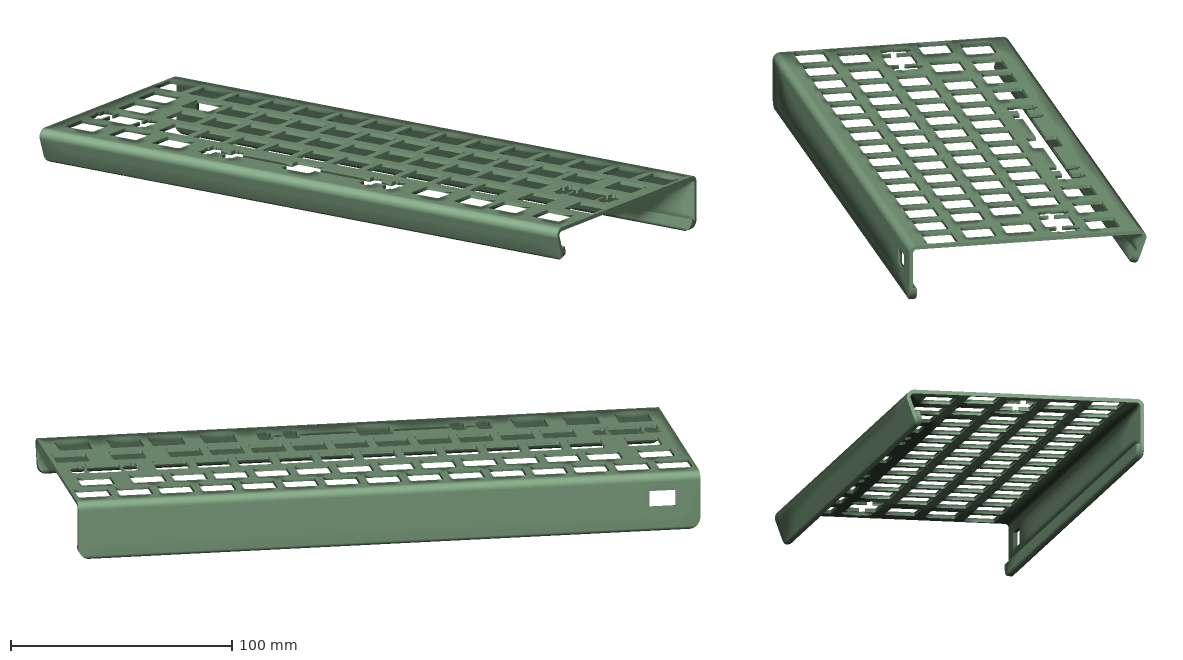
import cadquery as cq
import math


length = 285.8
depth = 109.7
height = 27.0

sheet = 1.7
bend_inner = 1.7
bend_outer = bend_inner + sheet
hem_gap = 0.15
hem_inner = hem_gap / 2
hem_outer = hem_inner + sheet
hem_height = 6.3
hem_run = hem_height - hem_outer
lip_tilt = 20.0
lip_run = 11.0
wall_run = height - bend_outer - hem_outer
plate_run = depth - 2 * bend_outer
wall_corner_radius = 6.0
lip_corner_radius = 4.0

row_units = 15
pitch = length / row_units
key_width = 15.5
key_height = 14.0
key_radius = 1.1
middle_row_y = 0.8

key_rows = [
    [0.5 + i for i in range(15)],
    [0.75] + [2 + i for i in range(12)] + [14.25],
    [0.875] + [2.25 + i for i in range(11)] + [13.875],
    [1.125] + [2.75 + i for i in range(10)] + [13.125, 14.5],
    [0.75, 2, 3.25, 7, 10.75, 12, 13, 14.25],
]

wide_keys = [(2, 13.875), (3, 1.125)]
space_row, space_column = 4, 7

stabiliser_width = 6.5
stabiliser_top = 5.7
stabiliser_bottom = -6.3
clip_width = 3.5
clip_top = 6.3
clip_bottom = -7.7
notch_depth = 0.9
notch_top = 2.31
notch_bottom = -0.51
wide_key_offset = 12.0
space_inner_offset = 38.3
space_outer_offset = 50.3
wire_slot_bottom = -2.15

port_left = 11.1
port_width = 12.3
port_top = 7.7
port_height = 7.7

clearance = 3.0


def step(point, heading, distance):
    """Move a (y, z) point along a heading given in degrees from +Y towards +Z."""
    angle = math.radians(heading)
    return (point[0] + distance * math.cos(angle), point[1] + distance * math.sin(angle))


def folded_sheet():
    """Extrude the side profile, followed from the back hem tip to the front hem tip."""
    folds = [
        (hem_run, hem_inner, 180),
        (wall_run, bend_inner, 90),
        (plate_run, bend_inner, 90 + lip_tilt),
        (lip_run, hem_inner, 180),
    ]
    inner = (depth / 2 - sheet - hem_gap, hem_height - height)
    heading = -90
    outer_start = step(inner, heading - 90, sheet)
    inner_face = cq.Workplane("YZ", origin=(-length / 2, 0, 0)).moveTo(*inner)
    outer_arcs = []
    for run, radius, turn in folds:
        centre = step(step(inner, heading, run), heading + 90, radius)
        angles = [heading - 90, heading - 90 + turn / 2, heading - 90 + turn]
        bend_start, bend_middle, inner = [step(centre, a, radius) for a in angles]
        inner_face = inner_face.lineTo(*bend_start).threePointArc(bend_middle, inner)
        outer_arcs.append([step(centre, a, radius + sheet) for a in angles])
        heading += turn

    tip = step(inner, heading, hem_run)
    profile = inner_face.lineTo(*tip).lineTo(*step(tip, heading - 90, sheet))
    for bend_start, bend_middle, bend_end in reversed(outer_arcs):
        profile = profile.lineTo(*bend_end).threePointArc(bend_middle, bend_start)
    return profile.lineTo(*outer_start).close().extrude(length)


def corner_cutters(y, z, tilt, radius):
    """Cutters that round both ends of a hemmed edge whose lowest outer line is at (y, z)."""
    reach = 2 * sheet + hem_gap + clearance
    right = (
        cq.Workplane("XZ", origin=(0, reach, 0))
        .moveTo(length / 2, radius)
        .radiusArc((length / 2 - radius, 0), radius)
        .lineTo(length / 2 - radius, -clearance)
        .lineTo(length / 2 + clearance, -clearance)
        .lineTo(length / 2 + clearance, radius)
        .close()
        .extrude(2 * reach)
    )
    both = right.union(right.mirror("YZ"))
    return both.rotate((0, 0, 0), (1, 0, 0), tilt).translate((0, y, z))


def key_x(column):
    return column * pitch - length / 2


def row_y(row):
    return middle_row_y + (len(key_rows) // 2 - row) * pitch


def plate_cutter(sketch):
    return sketch.extrude(sheet + 2 * clearance)


def plate_plane(x=0, y=0):
    """Workplane below the plate, centred on (x, y)."""
    return cq.Workplane("XY", origin=(x, y, -sheet - clearance))


def key_cutters():
    """Rounded rectangular openings for all keys."""
    centres = [(key_x(column), row_y(row)) for row, columns in enumerate(key_rows) for column in columns]
    openings = plate_cutter(plate_plane().pushPoints(centres).rect(key_width, key_height))
    return openings.edges("|Z").fillet(key_radius)


def slot_cutter(x, y, width, bottom, top):
    """Rectangular slot centred on x, with its bottom and top measured from y."""
    return plate_cutter(plate_plane(x, y + (bottom + top) / 2).rect(width, top - bottom))


def stabiliser_cutters(column, row, offsets, wire_bottom):
    """Mirrored stabiliser openings joined to a key by a wire slot, with notches at the outer ends."""
    x, y = key_x(column), row_y(row)
    outermost = max(offsets)
    notch_span = 2 * (outermost + notch_depth) + stabiliser_width
    cutters = slot_cutter(x, y, notch_span, notch_bottom, notch_top)
    cutters = cutters.union(slot_cutter(x, y, 2 * outermost, wire_bottom, notch_top))
    for offset in offsets:
        for centre in (x - offset, x + offset):
            body = slot_cutter(centre, y, stabiliser_width, stabiliser_bottom, stabiliser_top)
            clip = slot_cutter(centre, y, clip_width, clip_bottom, clip_top)
            cutters = cutters.union(body).union(clip)
    return cutters


def port_cutter():
    """Rectangular port through the back wall."""
    centre = (port_left + (port_width - length) / 2, depth / 2, -port_top - port_height / 2)
    port = cq.Workplane("XY", origin=centre)
    return port.box(port_width, 2 * (sheet + clearance), port_height)


bend_centre = (bend_outer - depth / 2, -bend_outer)
lip_heading = lip_tilt - 90
lip_start = step(bend_centre, lip_heading - 90, bend_outer)
lip_end = step(lip_start, lip_heading, lip_run + hem_outer)

result = folded_sheet()
result = result.cut(corner_cutters(depth / 2, -height, 0, wall_corner_radius))
result = result.cut(corner_cutters(*lip_end, lip_tilt, lip_corner_radius))
result = result.cut(port_cutter())
for row, column in wide_keys:
    result = result.cut(stabiliser_cutters(column, row, [wide_key_offset], notch_bottom))
space_offsets = [space_inner_offset, space_outer_offset]
result = result.cut(stabiliser_cutters(space_column, space_row, space_offsets, wire_slot_bottom))
result = result.cut(key_cutters())